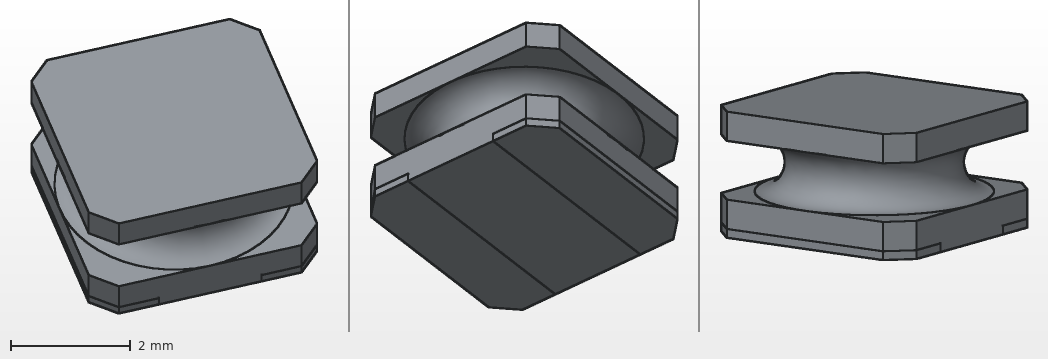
import cadquery as cq

side = 4.0
corner_chamfer = 0.4
flange_thickness = 0.5
winding_height = 1.0
terminal_thickness = 0.15
terminal_length = 1.1
barrel_diameter = 1.5

lower_flange_bottom = terminal_thickness
winding_bottom = lower_flange_bottom + flange_thickness
winding_top = winding_bottom + winding_height

groove_radius = winding_height / 2
winding_rim_radius = side / 2
waist_radius = winding_rim_radius - groove_radius
barrel_radius = barrel_diameter / 2


def octagon_plate(bottom, thickness):
    """Square plate with chamfered vertical corners, centred on the Z axis."""
    return (
        cq.Workplane("XY", origin=(0, 0, bottom))
        .rect(side, side)
        .extrude(thickness)
        .edges("|Z")
        .chamfer(corner_chamfer)
    )


def make_terminal(direction):
    """Flat terminal under one Y end of the core; direction is -1 or +1."""
    center_y = direction * (side - terminal_length) / 2
    end_zone = (
        cq.Workplane("XY", origin=(0, center_y, 0))
        .rect(side, terminal_length)
        .extrude(terminal_thickness)
    )
    return octagon_plate(0, terminal_thickness).intersect(end_zone)


def make_core():
    """Two flanges joined by the barrel, with a foot between the terminals."""
    lower_flange = octagon_plate(lower_flange_bottom, flange_thickness)
    upper_flange = octagon_plate(winding_top, flange_thickness)
    barrel = (
        cq.Workplane("XY", origin=(0, 0, winding_bottom))
        .circle(barrel_radius)
        .extrude(winding_height)
    )
    foot = (
        cq.Workplane("XY")
        .rect(side, side - 2 * terminal_length)
        .extrude(terminal_thickness)
    )
    return lower_flange.union(barrel).union(upper_flange).union(foot)


def make_winding():
    """Ring around the barrel with a concave outer surface."""
    return (
        cq.Workplane("XZ")
        .moveTo(barrel_radius, winding_bottom)
        .lineTo(winding_rim_radius, winding_bottom)
        .threePointArc(
            (waist_radius, winding_bottom + groove_radius),
            (winding_rim_radius, winding_top),
        )
        .lineTo(barrel_radius, winding_top)
        .close()
        .revolve(360, (0, 0, 0), (0, 1, 0))
    )


core = make_core()
winding = make_winding()
terminals = [make_terminal(direction) for direction in (-1, 1)]

result = cq.Compound.makeCompound(
    [core.val(), winding.val(), *[terminal.val() for terminal in terminals]]
)